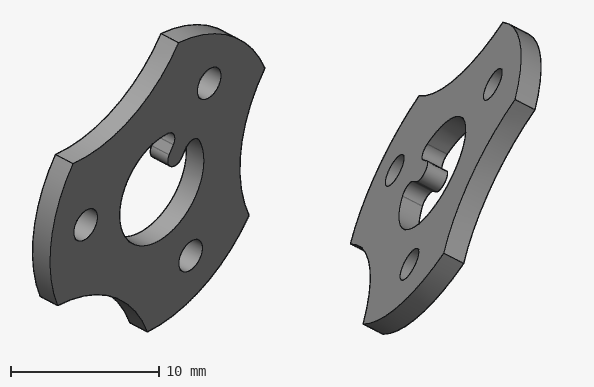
import cadquery as cq
import math

thickness = 1.6
lobe_radius = 11.3
scallop_floor_radius = 8.1
lobe_half_angle = 29.4
lobe_count = 3
lobe_pitch = 360 / lobe_count
first_lobe_angle = 52

hole_diameter = 2.38
hole_circle_radius = 7.78

bore_radius = 4.25
finger_angle = 54
tip_radius = 0.79
tip_distance = 2.35
pocket_radius = tip_radius
pocket_half_angle = 27.3


def polar(radius, angle):
    """Point at a radius and an angle in degrees."""
    return (radius * math.cos(math.radians(angle)), radius * math.sin(math.radians(angle)))


def mirrored(point):
    """Reflect a point across the finger axis (local x)."""
    return (point[0], -point[1])


def make_plate():
    outline = cq.Workplane("YZ").moveTo(*polar(lobe_radius, first_lobe_angle - lobe_half_angle))
    for i in range(lobe_count):
        lobe_angle = first_lobe_angle + i * lobe_pitch
        outline = outline.threePointArc(
            polar(lobe_radius, lobe_angle),
            polar(lobe_radius, lobe_angle + lobe_half_angle),
        ).threePointArc(
            polar(scallop_floor_radius, lobe_angle + lobe_pitch / 2),
            polar(lobe_radius, lobe_angle + lobe_pitch - lobe_half_angle),
        )
    return outline.close().extrude(thickness)


def make_lobe_holes():
    return (
        cq.Workplane("YZ")
        .polarArray(hole_circle_radius, first_lobe_angle, 360, lobe_count)
        .circle(hole_diameter / 2)
        .extrude(thickness)
    )


def make_bore():
    """Bore volume, drawn with the finger along local x and then turned into place."""
    pocket_x, pocket_y = polar(bore_radius - pocket_radius, pocket_half_angle)

    centre_distance = math.hypot(pocket_x - tip_distance, pocket_y)
    centre_line_angle = math.degrees(math.atan2(pocket_y, pocket_x - tip_distance))
    contact_angle = math.degrees(math.acos((tip_radius + pocket_radius) / centre_distance))
    flank_angle = centre_line_angle + contact_angle
    tip_dx, tip_dy = polar(tip_radius, flank_angle)
    pocket_dx, pocket_dy = polar(pocket_radius, flank_angle)

    tip_end = (tip_distance + tip_dx, tip_dy)
    pocket_start = (pocket_x - pocket_dx, pocket_y - pocket_dy)
    pocket_end = polar(bore_radius, pocket_half_angle)

    middle_angle = (flank_angle - 180 + pocket_half_angle) / 2
    middle_dx, middle_dy = polar(pocket_radius, middle_angle)
    pocket_middle = (pocket_x + middle_dx, pocket_y + middle_dy)

    return (
        cq.Workplane("YZ")
        .moveTo(*pocket_end)
        .threePointArc((-bore_radius, 0), mirrored(pocket_end))
        .threePointArc(mirrored(pocket_middle), mirrored(pocket_start))
        .lineTo(*mirrored(tip_end))
        .threePointArc((tip_distance - tip_radius, 0), tip_end)
        .lineTo(*pocket_start)
        .threePointArc(pocket_middle, pocket_end)
        .close()
        .extrude(thickness)
        .rotate((0, 0, 0), (1, 0, 0), finger_angle)
    )


result = make_plate().cut(make_lobe_holes()).cut(make_bore())